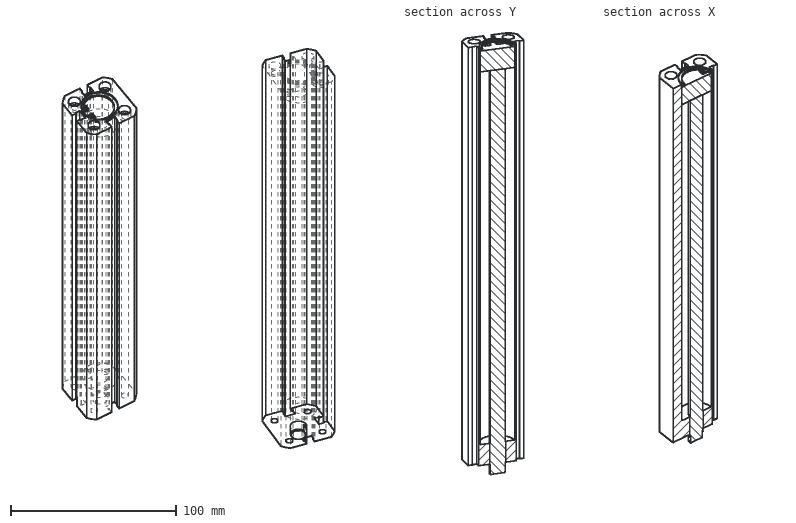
import cadquery as cq

TOTAL_LENGTH = 278.0
BARREL_WIDTH = 36.0
ROD_OVERHANG = 6.7
BARREL_LENGTH = TOTAL_LENGTH - ROD_OVERHANG

CORNER_RADIUS = 22.5
SLOT_MOUTH_WIDTH = 5.3
SLOT_INNER_WIDTH = 6.5
SLOT_LIP = 2.8
SLOT_DEPTH = 5.8
SLOT_ANGLES = (0, 180, 270)

HOLE_PITCH = 22.0
HOLE_DIAMETER = 4.2
COUNTERBORE_DIAMETER = 7.2
COUNTERBORE_DEPTH = 5.5

BORE_RADIUS = 10.98
FRONT_WALL = 14.0
RING_RECESS = 0.8
RING_THICKNESS = 1.0
GROOVE_RADIUS = 11.5
CAP_THICKNESS = 14.0
RING_TOP = BARREL_LENGTH - RING_RECESS
CAP_TOP = RING_TOP - RING_THICKNESS
CAP_BOTTOM = CAP_TOP - CAP_THICKNESS

RING_INNER_RADIUS = 9.5
RING_INNER_OFFSET = 0.5
RING_GAP = 4.0
EAR_WIDTH = 3.5
EAR_REACH = 6.5
EAR_HOLE_DIAMETER = 2.0
EAR_HOLE_X = RING_GAP / 2 + EAR_WIDTH / 2
EAR_HOLE_Y = -8.0

ROD_DIAMETER = 10.0
ROD_CHAMFER = 0.5
FLAT_WIDTH = 9.0
FLAT_LENGTH = 4.7


def cylinder(radius, bottom, top):
    return cq.Workplane("XY").workplane(offset=bottom).circle(radius).extrude(top - bottom)


def t_slot(angle):
    """Full-length T-slot in the +X side, turned about Z by the given angle."""
    outer = BARREL_WIDTH / 2
    floor = outer - SLOT_DEPTH
    lip = outer - SLOT_LIP
    mouth = cq.Workplane("XY").center((floor + outer) / 2, 0).rect(SLOT_DEPTH, SLOT_MOUTH_WIDTH)
    inner = cq.Workplane("XY").center((floor + lip) / 2, 0).rect(lip - floor, SLOT_INNER_WIDTH)
    slot = mouth.extrude(BARREL_LENGTH).union(inner.extrude(BARREL_LENGTH))
    return slot.rotate((0, 0, 0), (0, 0, 1), angle)


def make_barrel():
    square = cq.Workplane("XY").rect(BARREL_WIDTH, BARREL_WIDTH).extrude(BARREL_LENGTH)
    barrel = square.intersect(cylinder(CORNER_RADIUS, 0, BARREL_LENGTH))
    for angle in SLOT_ANGLES:
        barrel = barrel.cut(t_slot(angle))
    barrel = (
        barrel.faces(">Z")
        .workplane(origin=(0, 0, BARREL_LENGTH))
        .rect(HOLE_PITCH, HOLE_PITCH, forConstruction=True)
        .vertices()
        .cboreHole(HOLE_DIAMETER, COUNTERBORE_DIAMETER, COUNTERBORE_DEPTH)
    )
    barrel = barrel.cut(cylinder(BORE_RADIUS, FRONT_WALL, BARREL_LENGTH))
    barrel = barrel.cut(cylinder(GROOVE_RADIUS, CAP_TOP, RING_TOP))
    return barrel.cut(cylinder(ROD_DIAMETER / 2, 0, FRONT_WALL))


def make_end_cap():
    return cylinder(BORE_RADIUS, CAP_BOTTOM, CAP_TOP)


def make_retaining_ring():
    """Internal retaining ring with two drilled ears facing -Y."""
    plane = cq.Workplane("XY").workplane(offset=CAP_TOP)
    disc = cylinder(GROOVE_RADIUS, CAP_TOP, RING_TOP)
    opening = plane.center(0, -RING_INNER_OFFSET).circle(RING_INNER_RADIUS).extrude(RING_THICKNESS)
    ear_length = GROOVE_RADIUS - EAR_REACH
    ears = (
        plane.center(0, -EAR_REACH - ear_length / 2)
        .rect(RING_GAP + 2 * EAR_WIDTH, ear_length)
        .extrude(RING_THICKNESS)
        .intersect(disc)
    )
    gap = plane.center(0, -GROOVE_RADIUS / 2).rect(RING_GAP, GROOVE_RADIUS).extrude(RING_THICKNESS)
    holes = (
        plane.pushPoints([(-EAR_HOLE_X, EAR_HOLE_Y), (EAR_HOLE_X, EAR_HOLE_Y)])
        .circle(EAR_HOLE_DIAMETER / 2)
        .extrude(RING_THICKNESS)
    )
    return disc.cut(opening).union(ears).cut(gap).cut(holes)


def make_rod():
    """Rod from the end cap out through the front wall, with wrench flats on its -Y and +Y sides."""
    rod = cylinder(ROD_DIAMETER / 2, -ROD_OVERHANG, CAP_BOTTOM)
    rod = rod.faces("<Z").chamfer(ROD_CHAMFER)
    between_flats = (
        cq.Workplane("XY")
        .workplane(offset=-ROD_OVERHANG)
        .rect(ROD_DIAMETER, FLAT_WIDTH)
        .extrude(FLAT_LENGTH)
    )
    flat_waste = cylinder(ROD_DIAMETER, -ROD_OVERHANG, FLAT_LENGTH - ROD_OVERHANG).cut(between_flats)
    return rod.cut(flat_waste)


barrel = make_barrel()
end_cap = make_end_cap()
retaining_ring = make_retaining_ring()
rod = make_rod()

result = cq.Compound.makeCompound([barrel.val(), end_cap.val(), retaining_ring.val(), rod.val()])